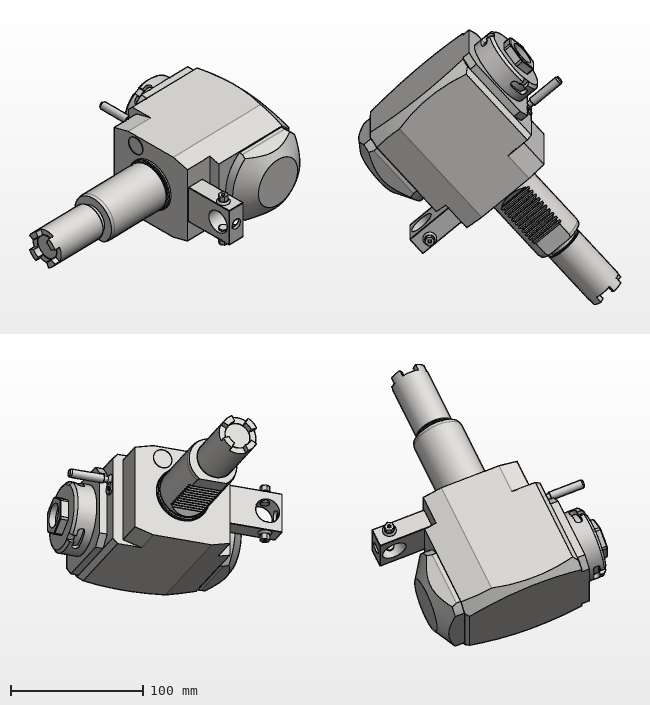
import cadquery as cq
import math


HALF_HEIGHT = 37.5
BACK_Y = 103.0
LEFT_X = -47.2
RIGHT_X = 48.3
FOOT_DEPTH = 24.3
FOOT_HALF_WIDTH = 38.8
TAPER_START_X = 23.8
TAPER_ANGLE = 15.0
LEFT_CHAMFER = 4.0
BACK_CORNER_CHAMFER = 2.6
CROWN_X = -9.7
CROWN_RADIUS = 132.3
CROWN_DROP = 4.0
PLUG_X, PLUG_Z = -16.0, 27.8
PLUG_RADIUS = 7.5
PLUG_RECESS = 0.5

SPINDLE_Y = 69.3
FLANGE_FACE_X = -53.4
FLANGE_FRONT_Y = 35.7
FLANGE_HALF_HEIGHT = 33.5
FLANGE_CHAMFER = 8.4
NUT_RADIUS = 27.5
NUT_FACE_X = -70.8
NUT_CHAMFER = 2.2
SLOT_COUNT = 3
SLOT_LENGTH = 18.5
SLOT_WIDTH = 5.5
SLOT_X = -62.6
SLOT_DEPTH = 3.5
NOTCH_WIDTH = 6.2
NOTCH_DEPTH = 3.0
HEX_FACE_X = -77.5
HEX_FLATS = 27.3
HEX_CORNER_RADIUS = 15.2
HEX_EDGE_CHAMFER = 0.7
TOOL_BORE_RADIUS = 9.5
TOOL_BORE_DEPTH = 5.0

NOZZLE_Y, NOZZLE_Z = 29.8, 17.6
NOZZLE_TIP_X = -80.5
NOZZLE_SHOULDER_X = -53.0
NOZZLE_RADIUS = 3.3
NOZZLE_TIP_CHAMFER = 1.3
NOZZLE_NECK_RADIUS = 2.5
NOZZLE_NECK_END_X = -49.6
NOZZLE_BASE_RADIUS = 4.5
DISC_Z = 10.4
DISC_RADIUS = 4.9
DISC_HEIGHT = 1.3
DISC_HOLE_RADIUS = 1.5

CAP_RADIUS = 37.7
CAP_RIM_X = 55.8
CAP_FACE_X = 67.0
CAP_FACE_RADIUS = 21.2
CAP_FLAT_Z = 30.0
CAP_BACK_Y = 99.0

COLLAR_RADIUS = 21.5
COLLAR_LENGTH = 2.2
COLLAR_CHAMFER = 0.7
RELIEF_RADIUS = 19.5
RELIEF_END = 3.3
SHANK_RADIUS = 20.0
SHANK_END = 62.5
SHANK_CHAMFER_LENGTH = 2.6
SHANK_TIP_RADIUS = 19.5
NECK_RADIUS = 12.1
NECK_END = 66.4
DRIVE_RADIUS = 15.0
DRIVE_CHAMFER = 0.7
TIP = 117.5
RACK_FLAT_Z = -16.0
RACK_FLAT_START = 9.3
GROOVE_FIRST = 11.5
GROOVE_PITCH = 4.0
GROOVE_COUNT = 10
GROOVE_DEPTH = 1.5
GROOVE_OPENING = 2.9
GROOVE_FLOOR = 1.3

CLAW_COUNT = 4
CLAW_LENGTH = 5.0
CLAW_BORE_RADIUS = 10.1
CLAW_BORE_DEPTH = 5.7
NOTCH_HALF_ANGLE = 26.0

ARM_END_X = 81.8
ARM_FRONT_Y = 1.3
ARM_BACK_Y = 16.5
ARM_HALF_HEIGHT = 16.0
ARM_CHAMFER = 0.33
ARM_BORE_X = 70.0
ARM_BORE_RADIUS = 9.7
END_HOLE_RADIUS = 4.5
SCREW_X, SCREW_Y = 70.0, 7.0
SCREW_BASE_RADIUS = 5.3
SCREW_BASE_HEIGHT = 1.8
SCREW_HEX_FLATS = 6.6
SCREW_TOP_Z = 22.5
SCREW_SHANK_RADIUS = 3.5
SCREW_INNER_Z = 8.2
SCREW_SOCKET_RADIUS = 1.3
SCREW_SOCKET_DEPTH = 2.2


def box(x0, x1, y0, y1, z0, z1):
    """Box given by its limits along each axis."""
    return cq.Workplane("XY").box(x1 - x0, y1 - y0, z1 - z0, centered=False).translate((x0, y0, z0))


def rod_x(x0, x1, radius, y, z):
    """Round rod along X."""
    return cq.Workplane("YZ", origin=(x0, y, z)).circle(radius).extrude(x1 - x0)


def turned_x(profile, y, z):
    """Turned body about the line parallel to X through (y, z); profile is (x, radius) points."""
    shape = cq.Workplane("XY").polyline(profile).close().revolve(360, (0, 0, 0), (1, 0, 0))
    return shape.translate((0, y, z))


def taper_z(x):
    """Half height of the housing on its 15 degree taper at distance x from the shank axis."""
    return HALF_HEIGHT - (x - TAPER_START_X) * math.tan(math.radians(TAPER_ANGLE))


def mirrored_outline(upper):
    """Closed outline in the XZ plane, symmetric about Z = 0, from its upper (x, z) points."""
    lower = [(x, -z) for x, z in reversed(upper)]
    return cq.Workplane("XZ").polyline(upper + lower).close()


def housing():
    main = mirrored_outline([
        (LEFT_X, HALF_HEIGHT - LEFT_CHAMFER),
        (LEFT_X + LEFT_CHAMFER, HALF_HEIGHT),
        (TAPER_START_X, HALF_HEIGHT),
        (RIGHT_X, taper_z(RIGHT_X)),
    ]).extrude(-(BACK_Y - FOOT_DEPTH)).translate((0, FOOT_DEPTH, 0))
    main = main.edges("|Z and >X and >Y").chamfer(BACK_CORNER_CHAMFER)

    wide_radius = CROWN_RADIUS + HALF_HEIGHT
    crown = (
        cq.Workplane("XZ")
        .polyline([(0, 0), (wide_radius, 0), (CROWN_RADIUS, HALF_HEIGHT), (0, HALF_HEIGHT)])
        .close()
        .revolve(360, (0, 0, 0), (0, 1, 0))
    )
    crown = crown.union(crown.mirror("XY"))
    main = main.intersect(crown.translate((CROWN_X, BACK_Y - CROWN_DROP - CROWN_RADIUS, 0)))

    foot = mirrored_outline([
        (-FOOT_HALF_WIDTH, taper_z(FOOT_HALF_WIDTH)),
        (-TAPER_START_X, HALF_HEIGHT),
        (TAPER_START_X, HALF_HEIGHT),
        (FOOT_HALF_WIDTH, taper_z(FOOT_HALF_WIDTH)),
    ]).extrude(-FOOT_DEPTH)
    recess = cq.Workplane("XZ", origin=(PLUG_X, 0, PLUG_Z)).circle(PLUG_RADIUS).extrude(-PLUG_RECESS)
    return main.union(foot).cut(recess)


def flange():
    plate = box(FLANGE_FACE_X, LEFT_X, FLANGE_FRONT_Y, BACK_Y, -FLANGE_HALF_HEIGHT, FLANGE_HALF_HEIGHT)
    return plate.edges("|X").chamfer(FLANGE_CHAMFER)


def clamp_nut():
    nut = rod_x(NUT_FACE_X, FLANGE_FACE_X, NUT_RADIUS, 0, 0).faces("<X").chamfer(NUT_CHAMFER)
    slot = (
        cq.Workplane("XY", origin=(SLOT_X, 0, NUT_RADIUS / 2))
        .slot2D(SLOT_LENGTH, SLOT_WIDTH, 90)
        .extrude(NUT_RADIUS)
    )
    slot = slot.cut(rod_x(NUT_FACE_X, FLANGE_FACE_X, NUT_RADIUS - SLOT_DEPTH, 0, 0))
    notch = box(NUT_FACE_X, SLOT_X, -NOTCH_WIDTH / 2, NOTCH_WIDTH / 2,
                NUT_RADIUS - NOTCH_DEPTH, NUT_RADIUS + NOTCH_DEPTH)
    cutter = slot.union(notch).rotate((0, 0, 0), (1, 0, 0), -90)
    for i in range(SLOT_COUNT):
        nut = nut.cut(cutter.rotate((0, 0, 0), (1, 0, 0), i * 360 / SLOT_COUNT))
    return nut.translate((0, SPINDLE_Y, 0))


def hex_nose():
    length = NUT_FACE_X - HEX_FACE_X
    corner_diameter = HEX_FLATS / math.cos(math.radians(30))
    nose = (
        cq.Workplane("YZ", origin=(HEX_FACE_X, 0, 0))
        .polygon(6, corner_diameter)
        .extrude(length)
        .rotate((0, 0, 0), (1, 0, 0), 30)
    )
    nose = nose.intersect(rod_x(HEX_FACE_X, NUT_FACE_X, HEX_CORNER_RADIUS, 0, 0))
    nose = nose.faces("<X").chamfer(HEX_EDGE_CHAMFER)
    return nose.translate((0, SPINDLE_Y, 0))


def nozzle():
    return turned_x([
        (NOZZLE_TIP_X, 0),
        (NOZZLE_TIP_X, NOZZLE_RADIUS - NOZZLE_TIP_CHAMFER / 2),
        (NOZZLE_TIP_X + NOZZLE_TIP_CHAMFER, NOZZLE_RADIUS),
        (NOZZLE_SHOULDER_X, NOZZLE_RADIUS),
        (NOZZLE_SHOULDER_X, NOZZLE_NECK_RADIUS),
        (NOZZLE_NECK_END_X, NOZZLE_NECK_RADIUS),
        (LEFT_X, NOZZLE_BASE_RADIUS),
        (LEFT_X, 0),
    ], NOZZLE_Y, NOZZLE_Z)


def cover_disc():
    disc = rod_x(LEFT_X - DISC_HEIGHT, LEFT_X, DISC_RADIUS, NOZZLE_Y, DISC_Z)
    return disc.cut(rod_x(LEFT_X - DISC_HEIGHT, LEFT_X, DISC_HOLE_RADIUS, NOZZLE_Y, DISC_Z))


def rear_cap():
    cap = turned_x([
        (RIGHT_X, 0),
        (RIGHT_X, CAP_RADIUS),
        (CAP_RIM_X, CAP_RADIUS),
        (CAP_FACE_X, CAP_FACE_RADIUS),
        (CAP_FACE_X, 0),
    ], SPINDLE_Y, 0)
    taper_meets_flat_x = TAPER_START_X + (HALF_HEIGHT - CAP_FLAT_Z) / math.tan(math.radians(TAPER_ANGLE))
    envelope = mirrored_outline([
        (RIGHT_X, CAP_FLAT_Z),
        (taper_meets_flat_x, CAP_FLAT_Z),
        (CAP_FACE_X, taper_z(CAP_FACE_X)),
    ]).extrude(-CAP_BACK_Y)
    return cap.intersect(envelope)


def shank():
    profile = [
        (0, 0),
        (COLLAR_RADIUS, 0),
        (COLLAR_RADIUS, -COLLAR_LENGTH + COLLAR_CHAMFER),
        (COLLAR_RADIUS - COLLAR_CHAMFER, -COLLAR_LENGTH),
        (RELIEF_RADIUS, -COLLAR_LENGTH),
        (RELIEF_RADIUS, -RELIEF_END),
        (SHANK_RADIUS, -RELIEF_END),
        (SHANK_RADIUS, -SHANK_END + SHANK_CHAMFER_LENGTH),
        (SHANK_TIP_RADIUS, -SHANK_END),
        (NECK_RADIUS, -SHANK_END),
        (NECK_RADIUS, -NECK_END),
        (DRIVE_RADIUS - DRIVE_CHAMFER, -NECK_END),
        (DRIVE_RADIUS, -NECK_END - DRIVE_CHAMFER),
        (DRIVE_RADIUS, -TIP),
        (0, -TIP),
    ]
    body = cq.Workplane("XY").polyline(profile).close().revolve(360, (0, 0, 0), (0, 1, 0))
    return body.cut(rack_cutter()).cut(claw_cutter())


def rack_cutter():
    """Flat under the shank with a 45 degree run-out, plus its row of rack grooves."""
    below = -COLLAR_RADIUS
    run_out = RACK_FLAT_Z - below
    cutter = (
        cq.Workplane("YZ", origin=(-SHANK_RADIUS, 0, 0))
        .polyline([
            (-SHANK_END, RACK_FLAT_Z),
            (-RACK_FLAT_START, RACK_FLAT_Z),
            (-RACK_FLAT_START + run_out, below),
            (-SHANK_END, below),
        ])
        .close()
        .extrude(2 * SHANK_RADIUS)
    )
    cutter = cutter.intersect(
        box(-SHANK_RADIUS, SHANK_RADIUS, -SHANK_END, -RELIEF_END, below, RACK_FLAT_Z))
    for i in range(GROOVE_COUNT):
        centre = -GROOVE_FIRST - i * GROOVE_PITCH
        groove = (
            cq.Workplane("YZ", origin=(-SHANK_RADIUS, centre, RACK_FLAT_Z))
            .polyline([
                (-GROOVE_OPENING / 2, 0),
                (-GROOVE_FLOOR / 2, GROOVE_DEPTH),
                (GROOVE_FLOOR / 2, GROOVE_DEPTH),
                (GROOVE_OPENING / 2, 0),
            ])
            .close()
            .extrude(2 * SHANK_RADIUS)
        )
        cutter = cutter.union(groove)
    return cutter


def claw_cutter():
    """Central bore and the radial-sided notches that leave the coupling claws."""
    cutter = cq.Workplane("XZ", origin=(0, -TIP, 0)).circle(CLAW_BORE_RADIUS).extrude(-CLAW_BORE_DEPTH)
    reach = 2 * DRIVE_RADIUS
    half_width = reach * math.tan(math.radians(NOTCH_HALF_ANGLE))
    notch = (
        cq.Workplane("XZ", origin=(0, -TIP, 0))
        .polyline([(0, 0), (reach, half_width), (reach, -half_width)])
        .close()
        .extrude(-CLAW_LENGTH)
    )
    for i in range(CLAW_COUNT):
        cutter = cutter.union(notch.rotate((0, 0, 0), (0, 1, 0), i * 360 / CLAW_COUNT))
    return cutter


def clamp_screw():
    """Upper screw: tapered seat, hexagon head with a socket, and a shank reaching into the arm bore."""
    seat_top = ARM_HALF_HEIGHT + SCREW_BASE_HEIGHT
    corner_diameter = SCREW_HEX_FLATS / math.cos(math.radians(30))
    seat = (
        cq.Workplane("XY", origin=(0, 0, ARM_HALF_HEIGHT))
        .circle(SCREW_BASE_RADIUS)
        .workplane(offset=SCREW_BASE_HEIGHT)
        .circle(corner_diameter / 2)
        .loft()
    )
    head = (
        cq.Workplane("XY", origin=(0, 0, seat_top))
        .polygon(6, corner_diameter)
        .extrude(SCREW_TOP_Z - seat_top)
        .rotate((0, 0, 0), (0, 0, 1), 30)
        .faces(">Z")
        .workplane()
        .hole(2 * SCREW_SOCKET_RADIUS, SCREW_SOCKET_DEPTH)
    )
    stem = (
        cq.Workplane("XY", origin=(0, 0, SCREW_INNER_Z))
        .circle(SCREW_SHANK_RADIUS)
        .extrude(ARM_HALF_HEIGHT - SCREW_INNER_Z)
    )
    return seat.union(head).union(stem).translate((SCREW_X, SCREW_Y, 0))


def side_arm():
    arm = box(FOOT_HALF_WIDTH, ARM_END_X, ARM_FRONT_Y, ARM_BACK_Y, -ARM_HALF_HEIGHT, ARM_HALF_HEIGHT)
    arm = arm.edges("|X or >X").chamfer(ARM_CHAMFER)
    bore = (
        cq.Workplane("XZ", origin=(ARM_BORE_X, ARM_FRONT_Y, 0))
        .circle(ARM_BORE_RADIUS)
        .extrude(ARM_FRONT_Y - ARM_BACK_Y)
    )
    end_hole = rod_x(ARM_BORE_X, ARM_END_X, END_HOLE_RADIUS, (ARM_FRONT_Y + ARM_BACK_Y) / 2, 0)
    screw = clamp_screw()
    return arm.cut(bore).cut(end_hole).union(screw).union(screw.mirror("XY"))


result = housing()
for feature in (flange(), clamp_nut(), hex_nose(), nozzle(), cover_disc(), rear_cap(), shank(), side_arm()):
    result = result.union(feature)
result = result.cut(rod_x(HEX_FACE_X, HEX_FACE_X + TOOL_BORE_DEPTH, TOOL_BORE_RADIUS, SPINDLE_Y, 0))